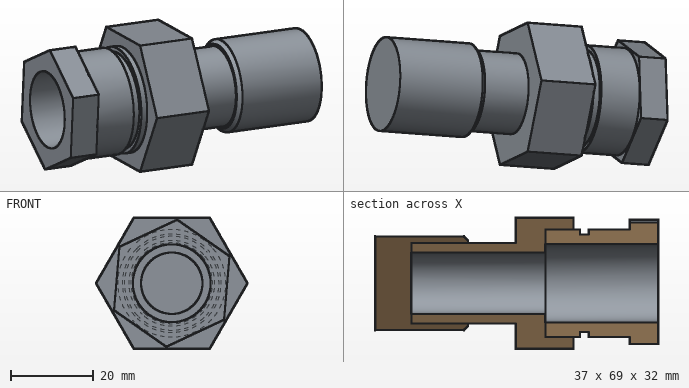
import cadquery as cq
import math

TOTAL_LENGTH = 69.0
FRONT_Y = -TOTAL_LENGTH / 2
BACK_Y = TOTAL_LENGTH / 2

GLAND_HEX_FLATS = 26.9
GLAND_HEX_TURN = 25.1
GLAND_HEX_LENGTH = 7.0
BARREL_DIAMETER = 26.3
BARREL_LENGTH = 10.0
GROOVE_DIAMETER = 24.0
GROOVE_WIDTH = 2.1
COLLAR_LENGTH = 1.6
GLAND_INSERTION = 6.9
GLAND_BORE_DIAMETER = 19.0

BODY_HEX_FLATS = 32.0
BODY_HEX_LENGTH = 14.15
STEM_DIAMETER = 19.8
STEM_EXPOSED_LENGTH = 11.6
STEM_INSERTION = 13.8
BODY_BORE_DIAMETER = 15.0

SLEEVE_DIAMETER = 23.0
SLEEVE_CHAMFER = 1.05

GLAND_HEX_END = FRONT_Y + GLAND_HEX_LENGTH
GROOVE_START = GLAND_HEX_END + BARREL_LENGTH
GROOVE_END = GROOVE_START + GROOVE_WIDTH
BODY_FRONT = GROOVE_END + COLLAR_LENGTH
GLAND_END = BODY_FRONT + GLAND_INSERTION
BODY_HEX_END = BODY_FRONT + BODY_HEX_LENGTH
SLEEVE_FRONT = BODY_HEX_END + STEM_EXPOSED_LENGTH
STEM_END = SLEEVE_FRONT + STEM_INSERTION


def section_plane(y):
    """Plane across the axis at y; its normal points towards -Y."""
    return cq.Workplane("XZ", origin=(0, y, 0))


def cylinder(diameter, start, end):
    return section_plane(start).circle(diameter / 2).extrude(start - end)


def hexagon(across_flats, start, end):
    """Hexagonal prism with two corners on the X axis."""
    across_corners = across_flats / math.cos(math.pi / 6)
    return section_plane(start).polygon(6, across_corners).extrude(start - end)


def make_gland():
    head = hexagon(GLAND_HEX_FLATS, FRONT_Y, GLAND_HEX_END)
    head = head.rotate((0, 0, 0), (0, -1, 0), GLAND_HEX_TURN)
    barrel = cylinder(BARREL_DIAMETER, GLAND_HEX_END, GLAND_END)
    groove = cylinder(BARREL_DIAMETER, GROOVE_START, GROOVE_END).cut(
        cylinder(GROOVE_DIAMETER, GROOVE_START, GROOVE_END)
    )
    bore = cylinder(GLAND_BORE_DIAMETER, FRONT_Y, GLAND_END)
    return head.union(barrel).cut(groove).cut(bore)


def make_hex_body():
    hex_block = hexagon(BODY_HEX_FLATS, BODY_FRONT, BODY_HEX_END)
    stem = cylinder(STEM_DIAMETER, BODY_HEX_END, STEM_END)
    gland_socket = cylinder(BARREL_DIAMETER, BODY_FRONT, GLAND_END)
    bore = cylinder(BODY_BORE_DIAMETER, GLAND_END, STEM_END)
    return hex_block.union(stem).cut(gland_socket).cut(bore)


def make_sleeve():
    shell = cylinder(SLEEVE_DIAMETER, SLEEVE_FRONT, BACK_Y)
    shell = shell.faces("<Y").chamfer(SLEEVE_CHAMFER)
    stem_socket = cylinder(STEM_DIAMETER, SLEEVE_FRONT, STEM_END)
    return shell.cut(stem_socket)


gland = make_gland()
hex_body = make_hex_body()
sleeve = make_sleeve()

result = cq.Compound.makeCompound([gland.val(), hex_body.val(), sleeve.val()])